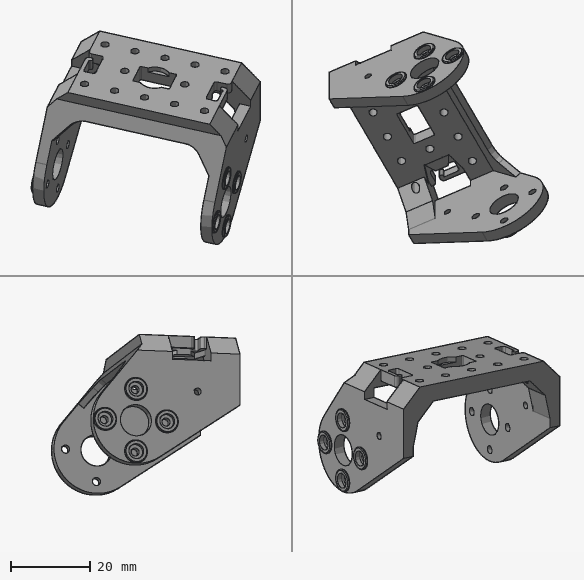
import cadquery as cq
import math


half_span = 24.4
boss_height = 0.5
arm_outer = half_span - boss_height
arm_thickness = 3.0
arm_inner = arm_outer - arm_thickness
top_z = 23.0
ceiling_z = 18.5
plate_half_width = 18.95
edge_chamfer = arm_outer - plate_half_width
back_y = 27.0
back_bottom_z = 5.0
plate_front_y = 2.0
slope_top_z = top_z - arm_thickness
end_radius = 11.05

pivot_hole_radius = 4.0
screw_circle_radius = 8.0
boss_radius = 2.95
boss_chamfer = 0.25
screw_radius = 1.02
counterbore_radius = 1.9
counterbore_depth = 1.35
pin_hole_radius = 0.9
pin_y = 2 * screw_circle_radius
pin_z = screw_circle_radius

front_wall_thickness = 1.75
opening_drop = 4.0
opening_corner_z = 11.75
opening_radius = 5.0

rib_foot_z = 7.4
rib_knee_z = 13.8
rib_knee_width = 1.45

plate_center_y = 14.5
hole_pitch = 8.0
center_hole_length = 9.75
center_hole_width = 5.9
center_hole_fillet = 0.3
center_recess_radius = 4.05
center_recess_depth = 1.35

window_half_length = 5.0
window_floor_z = 16.0
slot_half_length = 3.5
slot_inner_x = 14.8
slot_fillet = 0.65
finger_width = 1.05
finger_tip_y = 16.55
finger_radius = 1.0
mouth_radius = 0.9
hook_reach = 1.85
hook_thickness = 1.1
hook_fillet = 0.4

relief_taper_start_x = 17.1
relief_wall_x = 11.7
nose_half_length = 1.8
nose_floor_z = 19.0


def mirrored(shape):
    """The shape together with its mirror image about X = 0."""
    return shape.union(shape.mirror("YZ"))


def tangent_point(y, z, turn):
    """Where the line from (y, z) touches the pivot end circle, on the side given by turn."""
    angle = math.atan2(z, y) + turn * math.acos(end_radius / math.hypot(y, z))
    return end_radius * math.cos(angle), end_radius * math.sin(angle)


slope_start = tangent_point(plate_front_y, slope_top_z, 1)
slope_angle = math.atan2(slope_start[1], -slope_start[0])
down_slope = (-math.sin(slope_angle), -math.cos(slope_angle))
inward = (math.cos(slope_angle), -math.sin(slope_angle))


def body_block():
    """The side outline, extruded over the full width and chamfered along the top edges."""
    outline = (
        cq.Workplane("YZ")
        .moveTo(back_y, back_bottom_z)
        .lineTo(back_y, top_z)
        .lineTo(plate_front_y, top_z)
        .lineTo(plate_front_y, slope_top_z)
        .lineTo(*slope_start)
        .threePointArc((0, -end_radius), tangent_point(back_y, back_bottom_z, -1))
        .close()
    )
    block = outline.extrude(arm_outer, both=True)
    corner = (
        cq.Workplane("XZ")
        .moveTo(arm_outer, top_z)
        .lineTo(plate_half_width, top_z)
        .lineTo(arm_outer, top_z - edge_chamfer)
        .close()
        .extrude(2 * back_y, both=True)
    )
    return block.cut(mirrored(corner))


def cavity():
    """The space between the arms, behind the sloped front wall and below the plate."""
    wall_y = plate_front_y + front_wall_thickness * inward[0]
    wall_z = slope_top_z + front_wall_thickness * inward[1]

    def along_wall(z):
        distance = (z - wall_z) / down_slope[1]
        return wall_y + distance * down_slope[0], z

    low_z = -2 * end_radius
    return (
        cq.Workplane("YZ")
        .moveTo(*along_wall(ceiling_z))
        .lineTo(2 * back_y, ceiling_z)
        .lineTo(2 * back_y, low_z)
        .lineTo(*along_wall(low_z))
        .close()
        .extrude(arm_inner, both=True)
    )


def front_opening():
    """Opening through the sloped front wall, cut square to it, with slanted upper corners."""
    plane = cq.Plane(
        origin=(0, plate_front_y, slope_top_z),
        xDir=(1, 0, 0),
        normal=(0, -inward[0], -inward[1]),
    )
    corner_drop = (slope_top_z - opening_corner_z) / math.cos(slope_angle)
    top_half_width = arm_inner - (corner_drop - opening_drop) * math.cos(slope_angle)
    bottom_drop = 4 * end_radius
    profile = [
        (-arm_inner, -bottom_drop),
        (-arm_inner, -corner_drop),
        (-top_half_width, -opening_drop),
        (top_half_width, -opening_drop),
        (arm_inner, -corner_drop),
        (arm_inner, -bottom_drop),
    ]
    opening = cq.Workplane(plane).polyline(profile).close().extrude(2 * front_wall_thickness, both=True)
    cross_edges = opening.edges(cq.selectors.ParallelDirSelector(plane.zDir))
    return cross_edges.edges(">Z").fillet(opening_radius)


def rear_ribs():
    """Ribs in the rear corners between the arms and the plate, level with the window sides."""
    knee_x = arm_inner - rib_knee_width
    rib = (
        cq.Workplane("XZ", origin=(0, back_y, 0))
        .moveTo(arm_inner, rib_foot_z)
        .lineTo(knee_x, rib_knee_z)
        .lineTo(knee_x - (ceiling_z - rib_knee_z), ceiling_z)
        .lineTo(arm_inner, ceiling_z)
        .close()
        .extrude(back_y - plate_center_y - window_half_length)
    )
    return mirrored(rib)


def screw_points():
    """The four screw positions around the pivot axis, as (y, z)."""
    return [
        (screw_circle_radius, 0),
        (0, screw_circle_radius),
        (-screw_circle_radius, 0),
        (0, -screw_circle_radius),
    ]


def screw_bosses():
    """Low chamfered bosses around the screw holes on the outer arm faces."""
    bosses = (
        cq.Workplane("YZ", origin=(arm_outer, 0, 0))
        .pushPoints(screw_points())
        .circle(boss_radius)
        .extrude(boss_height)
        .faces(">X")
        .edges()
        .chamfer(boss_chamfer)
    )
    return mirrored(bosses)


def arm_holes():
    """Pivot hole, counterbored screw holes and pin hole of both arms."""
    through = cq.Workplane("YZ")
    holes = through.circle(pivot_hole_radius).extrude(half_span, both=True)
    holes = holes.union(through.pushPoints(screw_points()).circle(screw_radius).extrude(half_span, both=True))
    holes = holes.union(through.center(pin_y, pin_z).circle(pin_hole_radius).extrude(half_span, both=True))
    counterbores = (
        cq.Workplane("YZ", origin=(half_span, 0, 0))
        .pushPoints(screw_points())
        .circle(counterbore_radius)
        .extrude(-counterbore_depth)
    )
    return holes.union(mirrored(counterbores))


def plate_holes():
    """Hole grid of the plate, the central rectangular hole and its round recess."""
    top = cq.Workplane("XY", origin=(0, plate_center_y, top_z))
    grid = [
        (column * hole_pitch, row * hole_pitch)
        for column in range(-2, 3)
        for row in range(-1, 2)
        if row != 0 or abs(column) == 1
    ]
    holes = top.pushPoints(grid).circle(screw_radius).extrude(-top_z)
    center = top.rect(center_hole_length, center_hole_width).extrude(-top_z)
    center = center.edges("|Z").fillet(center_hole_fillet)
    recess = top.circle(center_recess_radius).extrude(-center_recess_depth)
    return holes.union(center).union(recess)


def side_windows():
    """Openings through both arms that also take away the chamfered edges of the plate."""
    window = cq.Workplane("XY").box(
        half_span - plate_half_width,
        2 * window_half_length,
        top_z - window_floor_z,
        centered=(False, True, False),
    )
    return mirrored(window.translate((plate_half_width, plate_center_y, window_floor_z)))


def cable_slots():
    """Slots through the plate, each open to its window past the tip of a thin hooked finger."""
    near_y = plate_center_y - slot_half_length
    far_y = plate_center_y + slot_half_length
    finger_x = plate_half_width - finger_width
    hook_x = plate_half_width - hook_reach
    hook_y = finger_tip_y - hook_thickness
    window_end_y = plate_center_y + window_half_length
    depth = top_z - ceiling_z

    def prism(points):
        return cq.Workplane("XY", origin=(0, 0, ceiling_z)).polyline(points).close().extrude(depth)

    def round_edge(shape, x, y, radius):
        margin = 0.05
        near = cq.selectors.BoxSelector((x - margin, y - margin, 0), (x + margin, y + margin, top_z))
        return shape.edges("|Z").edges(near).fillet(radius)

    slot = prism(
        [
            (slot_inner_x, near_y),
            (finger_x, near_y),
            (finger_x, hook_y),
            (hook_x, hook_y),
            (hook_x, finger_tip_y),
            (plate_half_width, finger_tip_y),
            (plate_half_width, near_y),
            (arm_inner, near_y),
            (arm_inner, window_end_y),
            (plate_half_width, window_end_y),
            (plate_half_width, far_y),
            (slot_inner_x, far_y),
        ]
    )
    for x, y, radius in [
        (slot_inner_x, near_y, slot_fillet),
        (slot_inner_x, far_y, slot_fillet),
        (finger_x, near_y, slot_fillet),
        (hook_x, hook_y, hook_fillet),
        (hook_x, finger_tip_y, hook_fillet),
        (plate_half_width, finger_tip_y, finger_radius),
        (plate_half_width, far_y, mouth_radius),
    ]:
        slot = round_edge(slot, x, y, radius)
    return mirrored(slot)


def slot_reliefs():
    """Pockets under the plate at each slot, tapering inward to a stepped wall with a blunt nose."""
    opening = [
        (relief_taper_start_x, window_half_length),
        (arm_inner, window_half_length),
        (arm_inner, -window_half_length),
        (relief_taper_start_x, -window_half_length),
    ]
    wall = [(relief_wall_x, -slot_half_length), (relief_wall_x, slot_half_length)]
    nose = [(slot_inner_x, -nose_half_length), (slot_inner_x, nose_half_length)]

    def layer(points, low_z, high_z):
        plane = cq.Workplane("XY", origin=(0, plate_center_y, low_z))
        return plane.polyline(points).close().extrude(high_z - low_z)

    lower = layer(opening + wall, ceiling_z, nose_floor_z)
    upper = layer(opening + wall[:1] + nose + wall[1:], nose_floor_z, slope_top_z)
    return mirrored(lower.union(upper))


result = body_block().cut(cavity()).cut(front_opening()).union(rear_ribs()).union(screw_bosses())
for cutter in (arm_holes(), plate_holes(), side_windows(), cable_slots(), slot_reliefs()):
    result = result.cut(cutter)
result = cq.Workplane(result.val())